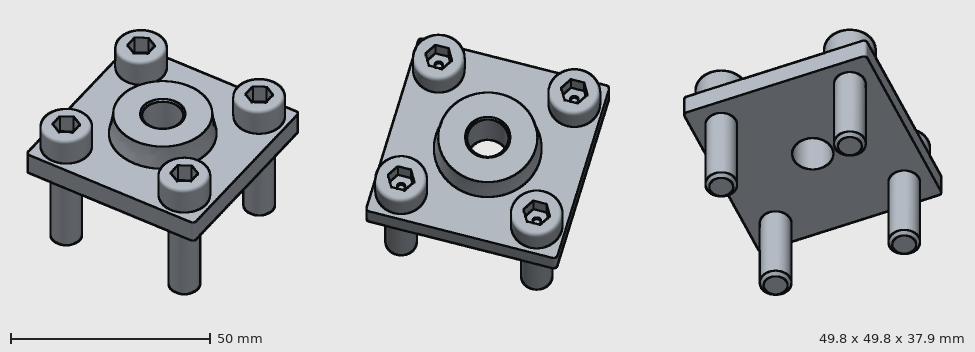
import cadquery as cq

PLATE_SIDE = 49.8
PLATE_THICKNESS = 6.1
PLATE_CORNER_RADIUS = 1.0

BOSS_BASE_RADIUS = 13.55
BOSS_TOP_RADIUS = 12.45
BOSS_HEIGHT = 6.45
BOSS_BASE_ANGLE = -68.0
BOSS_TOP_ANGLE = -50.5

BORE_DIAMETER = 10.35
BORE_CHAMFER = 0.5

SCREW_PITCH_X = 35.0
SCREW_PITCH_Y = 35.35

SHANK_DIAMETER = 8.0
SHANK_LENGTH = 29.95
SHANK_TIP_CHAMFER = 1.0
HEAD_DIAMETER = 13.05
HEAD_HEIGHT = 7.95
HEAD_FILLET = 1.0

SOCKET_ACROSS_FLATS = 6.0
SOCKET_DEPTH = 5.0
CENTER_HOLE_DIAMETER = 2.1
CENTER_HOLE_DEPTH = 1.0

SCREW_POSITIONS = [
    (side_x * SCREW_PITCH_X / 2, side_y * SCREW_PITCH_Y / 2)
    for side_x in (-1, 1)
    for side_y in (-1, 1)
]


def circle_wire(radius, height, start_angle):
    """Horizontal circle whose start point lies at the given angle from +X."""
    circle = cq.Wire.makeCircle(radius, cq.Vector(0, 0, height), cq.Vector(0, 0, 1))
    return circle.rotate(cq.Vector(0, 0, 0), cq.Vector(0, 0, 1), start_angle)


def make_boss():
    """Ruled loft between two circles turned against each other."""
    base = circle_wire(BOSS_BASE_RADIUS, 0, BOSS_BASE_ANGLE)
    top = circle_wire(BOSS_TOP_RADIUS, BOSS_HEIGHT, BOSS_TOP_ANGLE)
    return cq.Workplane(cq.Solid.makeLoft([base, top], True))


def make_flange():
    """Square plate with its boss, chamfered bore and screw holes."""
    plate = (
        cq.Workplane("XY")
        .rect(PLATE_SIDE, PLATE_SIDE)
        .extrude(-PLATE_THICKNESS)
        .edges("|Z")
        .fillet(PLATE_CORNER_RADIUS)
    )
    bore = (
        cq.Workplane("XY", origin=(0, 0, -PLATE_THICKNESS))
        .circle(BORE_DIAMETER / 2)
        .extrude(PLATE_THICKNESS + BOSS_HEIGHT)
    )
    bore_mouth = cq.Workplane(
        cq.Solid.makeCone(
            BORE_DIAMETER / 2,
            BORE_DIAMETER / 2 + BORE_CHAMFER,
            BORE_CHAMFER,
            cq.Vector(0, 0, BOSS_HEIGHT - BORE_CHAMFER),
        )
    )
    screw_holes = (
        cq.Workplane("XY")
        .pushPoints(SCREW_POSITIONS)
        .circle(SHANK_DIAMETER / 2)
        .extrude(-PLATE_THICKNESS)
    )
    return plate.union(make_boss()).cut(bore).cut(bore_mouth).cut(screw_holes)


def make_screw(x, y):
    """Socket head cap screw with its head seated on the plate at (x, y)."""
    head = (
        cq.Workplane("XY")
        .circle(HEAD_DIAMETER / 2)
        .extrude(HEAD_HEIGHT)
        .edges()
        .fillet(HEAD_FILLET)
    )
    shank = (
        cq.Workplane("XY")
        .circle(SHANK_DIAMETER / 2)
        .extrude(-SHANK_LENGTH)
        .faces("<Z")
        .chamfer(SHANK_TIP_CHAMFER)
    )
    socket = (
        cq.Workplane("XY", origin=(0, 0, HEAD_HEIGHT))
        .polygon(6, SOCKET_ACROSS_FLATS, circumscribed=True)
        .extrude(-SOCKET_DEPTH)
    )
    center_hole = (
        cq.Workplane("XY", origin=(0, 0, HEAD_HEIGHT - SOCKET_DEPTH))
        .circle(CENTER_HOLE_DIAMETER / 2)
        .extrude(-CENTER_HOLE_DEPTH)
    )
    screw = head.union(shank).cut(socket).cut(center_hole)
    return screw.translate((x, y, 0))


flange = make_flange()
screws = [make_screw(x, y) for x, y in SCREW_POSITIONS]

result = cq.Compound.makeCompound([flange.val(), *[screw.val() for screw in screws]])